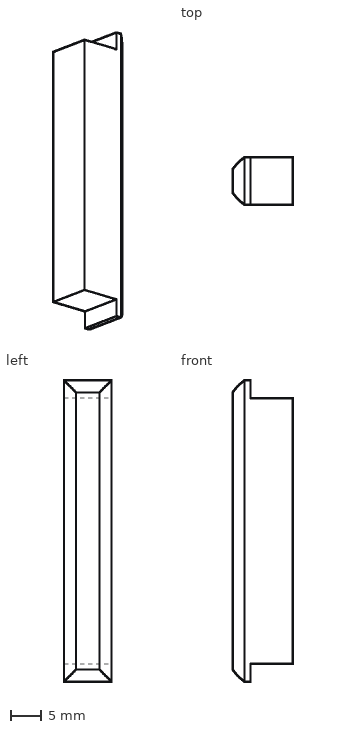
import cadquery as cq
import math

depth = 10.0
width = 7.9
height = 49.9

flange_thickness = 3.0
bevel = 2.0
bevel_radius = 8.0

body_height = 44.0
body_depth = depth - flange_thickness


def bevelled_profile(plane, span):
    """Closed flange outline on a plane whose first axis is X, with arced front corners."""
    front = -flange_thickness
    shoulder = front + bevel
    edge = span / 2
    inner_edge = edge - bevel

    half_chord = bevel * math.sqrt(2) / 2
    bulge = bevel_radius - math.sqrt(bevel_radius**2 - half_chord**2)
    offset = bulge / math.sqrt(2)
    mid_x = front + bevel / 2 - offset
    mid_edge = edge - bevel / 2 + offset

    return (
        cq.Workplane(plane)
        .moveTo(0, -edge)
        .lineTo(shoulder, -edge)
        .threePointArc((mid_x, -mid_edge), (front, -inner_edge))
        .lineTo(front, inner_edge)
        .threePointArc((mid_x, mid_edge), (shoulder, edge))
        .lineTo(0, edge)
        .close()
    )


def make_flange():
    """Plate bevelled on all four sides: the common volume of two crossing extrusions."""
    across_width = bevelled_profile("XY", width).extrude(height / 2, both=True)
    along_height = bevelled_profile("XZ", height).extrude(width / 2, both=True)
    return across_width.intersect(along_height)


def make_body():
    """Plain block reaching back from the flange."""
    return cq.Workplane("XY").box(
        body_depth, width, body_height, centered=(False, True, True)
    )


result = make_flange().union(make_body())